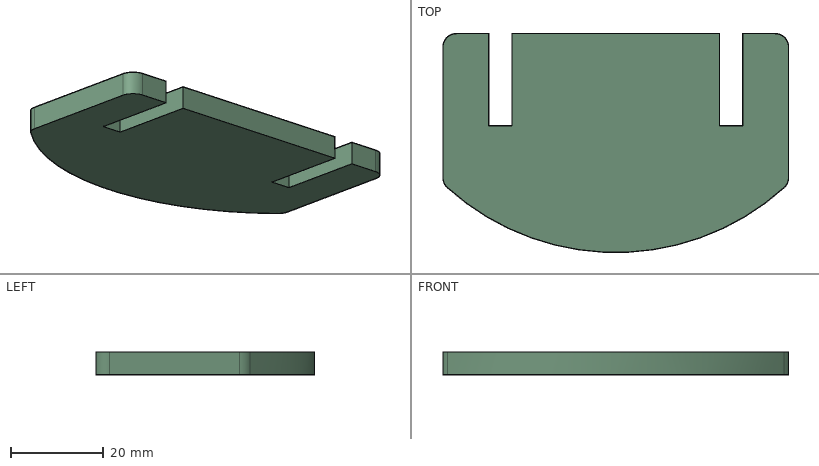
import cadquery as cq

width = 75.0
thickness = 5.0
side_length = 32.5
bow_height = 15.0
corner_radius = 3.0
slot_width = 5.0
slot_depth = 20.0
slot_edge_distance = 10.0

half_width = width / 2
bow_tip_y = -(side_length + bow_height)
slot_center_x = half_width - slot_edge_distance - slot_width / 2


def make_plate():
    """Flat plate with a straight back edge, a bowed front edge and rounded corners."""
    outline = (
        cq.Workplane("XY")
        .moveTo(-half_width, 0)
        .lineTo(-half_width, -side_length)
        .threePointArc((0, bow_tip_y), (half_width, -side_length))
        .lineTo(half_width, 0)
        .close()
    )
    return outline.extrude(thickness).edges("|Z").fillet(corner_radius)


def make_slot(center_x):
    """Square-ended slot volume running forward from the back edge."""
    return (
        cq.Workplane("XY")
        .center(center_x, -slot_depth / 2)
        .rect(slot_width, slot_depth)
        .extrude(thickness)
    )


result = make_plate()
for side in (-1, 1):
    result = result.cut(make_slot(side * slot_center_x))